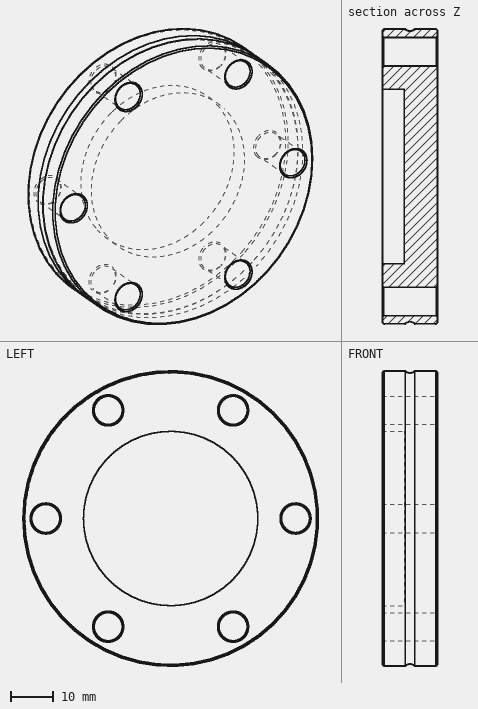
import cadquery as cq
import math

outer_diameter = 69.5
thickness = 13.0
rim_chamfer = 0.4

groove_width = 2.3
groove_depth = 0.5

pocket_diameter = 41.0
pocket_depth = 5.15

hole_count = 6
hole_diameter = 6.6
hole_chamfer = 0.35
hole_circle_diameter = 58.7

outer_radius = outer_diameter / 2
half_thickness = thickness / 2


def make_disc():
    """Revolve the half section, with rim chamfers and groove, about X."""
    face_radius = outer_radius - rim_chamfer
    shoulder = half_thickness - rim_chamfer
    half_groove = groove_width / 2
    section = (
        cq.Workplane("XY")
        .moveTo(-half_thickness, 0)
        .lineTo(-half_thickness, face_radius)
        .lineTo(-shoulder, outer_radius)
        .lineTo(-half_groove, outer_radius)
        .threePointArc((0, outer_radius - groove_depth), (half_groove, outer_radius))
        .lineTo(shoulder, outer_radius)
        .lineTo(half_thickness, face_radius)
        .lineTo(half_thickness, 0)
        .close()
    )
    return section.revolve(360, (0, 0, 0), (1, 0, 0))


def make_pocket():
    return (
        cq.Workplane("YZ", origin=(-half_thickness, 0, 0))
        .circle(pocket_diameter / 2)
        .extrude(pocket_depth)
    )


def make_hole(angle):
    """Revolve one through hole, flared at both ends, at an angle from +Y."""
    hole_radius = hole_diameter / 2
    mouth_radius = hole_radius + hole_chamfer
    bore_end = half_thickness - hole_chamfer
    profile = [
        (-half_thickness, 0),
        (-half_thickness, mouth_radius),
        (-bore_end, hole_radius),
        (bore_end, hole_radius),
        (half_thickness, mouth_radius),
        (half_thickness, 0),
    ]
    hole = cq.Workplane("XY").polyline(profile).close().revolve(360, (0, 0, 0), (1, 0, 0))
    circle_radius = hole_circle_diameter / 2
    return hole.translate((0, circle_radius * math.cos(angle), circle_radius * math.sin(angle)))


result = make_disc().cut(make_pocket())
for index in range(hole_count):
    result = result.cut(make_hole(2 * math.pi * index / hole_count))